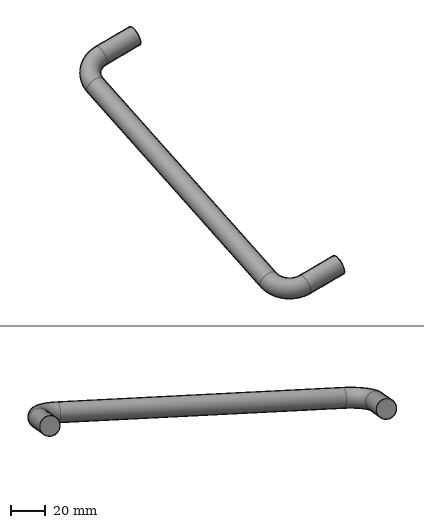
import cadquery as cq
import math

overall_length = 212.0
overall_depth = 45.0
bar_diameter = 12.0
bend_radius = 15.0

bar_radius = bar_diameter / 2
leg_x = overall_length / 2 - bar_radius
leg_end_y = overall_depth - bar_radius
bend_start_x = leg_x - bend_radius
bend_mid_offset = bend_radius * math.sqrt(0.5)
bend_mid_x = bend_start_x + bend_mid_offset
bend_mid_y = bend_radius - bend_mid_offset

centreline = (
    cq.Workplane("XY")
    .moveTo(-leg_x, leg_end_y)
    .lineTo(-leg_x, bend_radius)
    .threePointArc((-bend_mid_x, bend_mid_y), (-bend_start_x, 0))
    .lineTo(bend_start_x, 0)
    .threePointArc((bend_mid_x, bend_mid_y), (leg_x, bend_radius))
    .lineTo(leg_x, leg_end_y)
)

result = (
    cq.Workplane("XZ", origin=(-leg_x, leg_end_y, 0))
    .circle(bar_radius)
    .sweep(centreline)
)